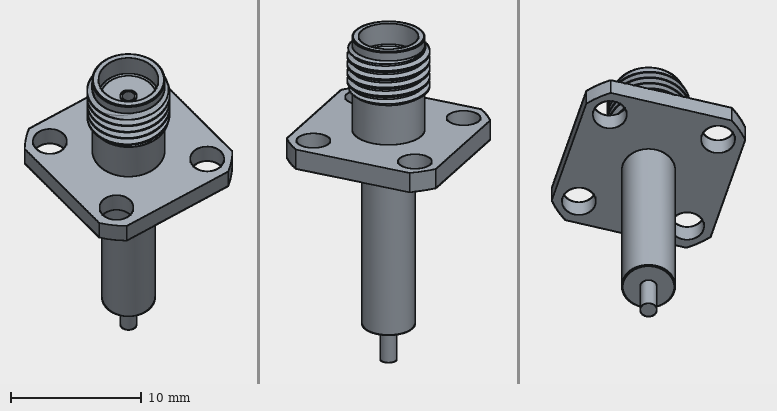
import cadquery as cq
import math

FLANGE_WIDTH = 12.7
FLANGE_THICKNESS = 1.65
FLANGE_CORNER_RADIUS = 7.98
MOUNT_HOLE_DIAMETER = 2.6
MOUNT_HOLE_SPACING = 8.65

BARREL_DIAMETER = 5.6
BARREL_HEIGHT = 7.9
RIM_CHAMFER = 0.08
BORE_DIAMETER = 4.6
BORE_DEPTH = 1.85
FLOOR_CONE_HEIGHT = 0.08
FLOOR_CONE_WIDTH = 0.16

THREAD_DIAMETER = 6.36
THREAD_FIVE_TURNS = 3.55
THREAD_PITCH = THREAD_FIVE_TURNS / 5
THREAD_CREST = 0.1
THREAD_BASE = 0.55
THREAD_TOP_GAP = 0.77
THREAD_LENGTH = 3.79
THREAD_END_TAPER = 0.33
THREAD_PHASE = 1.35
THREAD_ENVELOPE_CLEARANCE = 0.15
THREAD_ROOT_OVERLAP = 0.05

SLEEVE_LENGTH = 14.92
SLEEVE_CHAMFER = 0.08
SLEEVE_DIAMETER = 4.11

PIN_DIAMETER = 1.3
PIN_LENGTH = 2.95
SOCKET_DIAMETER = 1.0
SOCKET_DEPTH = 2.75

BORE_FLOOR = BARREL_HEIGHT - BORE_DEPTH
SLEEVE_BOTTOM = -FLANGE_THICKNESS - SLEEVE_LENGTH


def cylinder(diameter, bottom, top):
    """Cylinder on the connector axis between two heights."""
    return cq.Workplane("XY").workplane(offset=bottom).circle(diameter / 2).extrude(top - bottom)


def make_flange():
    """Square plate with arc-cut corners and four mounting holes."""
    plate = cq.Workplane("XY").rect(FLANGE_WIDTH, FLANGE_WIDTH).extrude(-FLANGE_THICKNESS)
    plate = plate.intersect(cylinder(2 * FLANGE_CORNER_RADIUS, -FLANGE_THICKNESS, 0))
    holes = (
        cq.Workplane("XY")
        .rect(MOUNT_HOLE_SPACING, MOUNT_HOLE_SPACING, forConstruction=True)
        .vertices()
        .circle(MOUNT_HOLE_DIAMETER / 2)
        .extrude(-FLANGE_THICKNESS)
    )
    return plate.cut(holes)


def make_thread():
    """Right-hand helical ridge, tapered at both ends of the threaded length."""
    thread_top = BARREL_HEIGHT - THREAD_TOP_GAP
    thread_bottom = thread_top - THREAD_LENGTH
    root_radius = BARREL_DIAMETER / 2
    inner_radius = root_radius - THREAD_ROOT_OVERLAP
    crest_radius = THREAD_DIAMETER / 2
    flank_slope = (THREAD_BASE - THREAD_CREST) / 2 / (crest_radius - root_radius)
    inner_half = THREAD_BASE / 2 + flank_slope * THREAD_ROOT_OVERLAP

    crest = BARREL_HEIGHT - THREAD_PHASE
    turns_below = math.ceil((crest - thread_bottom) / THREAD_PITCH) + 1
    start = crest - turns_below * THREAD_PITCH
    turns = math.ceil((thread_top - start) / THREAD_PITCH) + 1

    helix = cq.Wire.makeHelix(THREAD_PITCH, turns * THREAD_PITCH, root_radius)
    ridge = (
        cq.Workplane("XZ")
        .polyline([
            (inner_radius, -inner_half),
            (crest_radius, -THREAD_CREST / 2),
            (crest_radius, THREAD_CREST / 2),
            (inner_radius, inner_half),
        ])
        .close()
        .sweep(cq.Workplane(helix), isFrenet=True)
        .rotate((0, 0, 0), (0, 0, 1), 180)
        .translate((0, 0, start))
    )

    taper_slope = THREAD_END_TAPER / (crest_radius - root_radius)
    envelope_radius = crest_radius + THREAD_ENVELOPE_CLEARANCE
    envelope_taper = envelope_radius - root_radius
    envelope = cylinder(2 * envelope_radius, thread_bottom, thread_top)
    for end in ("<Z", ">Z"):
        envelope = envelope.faces(end).chamfer(envelope_taper * taper_slope, envelope_taper)
    return ridge.intersect(envelope)


def make_housing():
    """Barrel, flange and sleeve, with the mating bore and the passage for the pin."""
    barrel = cylinder(BARREL_DIAMETER, 0, BARREL_HEIGHT).faces(">Z").chamfer(RIM_CHAMFER)
    sleeve = cylinder(SLEEVE_DIAMETER, SLEEVE_BOTTOM, 0).faces("<Z").chamfer(SLEEVE_CHAMFER)
    bore = cylinder(BORE_DIAMETER, BORE_FLOOR, BARREL_HEIGHT)
    bore = bore.faces("<Z").chamfer(FLOOR_CONE_HEIGHT, FLOOR_CONE_WIDTH)
    passage = cylinder(PIN_DIAMETER, SLEEVE_BOTTOM, BORE_FLOOR)
    body = barrel.union(make_flange()).union(sleeve).union(make_thread())
    return body.cut(bore).cut(passage)


def make_pin():
    """Contact pin, flush with the bore floor, with a blind socket in its upper end."""
    pin = cylinder(PIN_DIAMETER, SLEEVE_BOTTOM - PIN_LENGTH, BORE_FLOOR)
    return pin.cut(cylinder(SOCKET_DIAMETER, BORE_FLOOR - SOCKET_DEPTH, BORE_FLOOR))


housing = make_housing()
pin = make_pin()
result = cq.Compound.makeCompound([housing.val(), pin.val()])